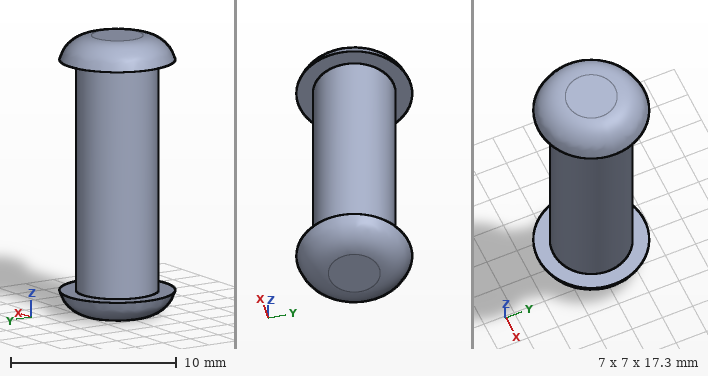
import cadquery as cq
import math

total_length = 17.25
shank_diameter = 5.0
head_diameter = 7.0
head_height = 1.5
crown_radius = 2.0

shank_radius = shank_diameter / 2
head_radius = head_diameter / 2
half_length = total_length / 2
head_base = half_length - head_height

crown_center_height = half_length - crown_radius
rim_angle = math.asin((head_base - crown_center_height) / crown_radius)
flat_radius = head_radius - crown_radius * math.cos(rim_angle)
mid_angle = (rim_angle + math.pi / 2) / 2
crown_mid_radius = flat_radius + crown_radius * math.cos(mid_angle)
crown_mid_height = crown_center_height + crown_radius * math.sin(mid_angle)


def make_head():
    """Domed upper head with a flat end and a flat underside."""
    return (
        cq.Workplane("XZ")
        .moveTo(0, head_base)
        .lineTo(head_radius, head_base)
        .threePointArc((crown_mid_radius, crown_mid_height), (flat_radius, half_length))
        .lineTo(0, half_length)
        .close()
        .revolve(360, (0, 0), (0, 1))
    )


shank = cq.Workplane("XY").circle(shank_radius).extrude(head_base, both=True)
upper_head = make_head()
lower_head = upper_head.mirror("XY")

result = shank.union(upper_head).union(lower_head)